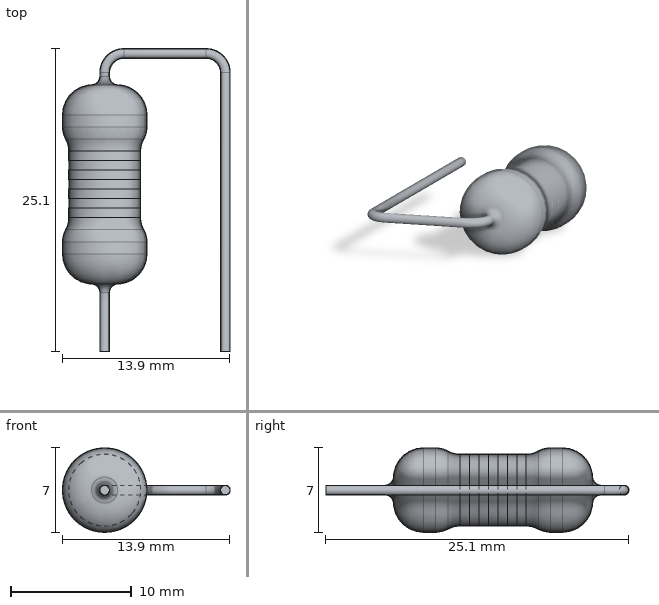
import cadquery as cq
import math


WIRE_RADIUS = 0.8 / 2
BEND_RADIUS = 4 * WIRE_RADIUS
LEAD_PITCH = 10.0
OVERALL_LENGTH = 25.1
FOOT_RADIUS = 0.7

BODY_START = 5.6
BODY_LENGTH = 16.5
CAP_RADIUS = 7.0 / 2
DOME_RADIUS = 2.5
CAP_LAND = 1.0
NECK_ARC_LENGTH = 1.0

BARREL_RADIUS = 5.95 / 2
BAND_RADIUS = 5.97 / 2
BAND_COUNT = 4

BODY_MIDDLE = BODY_START + BODY_LENGTH / 2
BARREL_LENGTH = BODY_LENGTH - 2 * (DOME_RADIUS + CAP_LAND + 2 * NECK_ARC_LENGTH)
BAND_WIDTH = BARREL_LENGTH / (2 * BAND_COUNT - 1)

NECK_END = BARREL_LENGTH / 2
NECK_MIDDLE = NECK_END + NECK_ARC_LENGTH
LAND_START = NECK_MIDDLE + NECK_ARC_LENGTH
LAND_END = LAND_START + CAP_LAND

DOME_CENTRE_RADIUS = CAP_RADIUS - DOME_RADIUS
FOOT_CENTRE_RADIUS = WIRE_RADIUS + FOOT_RADIUS
CENTRE_OFFSET = FOOT_CENTRE_RADIUS - DOME_CENTRE_RADIUS
FOOT_ANGLE = math.acos(CENTRE_OFFSET / (DOME_RADIUS + FOOT_RADIUS))
FOOT_END = LAND_END + (DOME_RADIUS + FOOT_RADIUS) * math.sin(FOOT_ANGLE)


def point_on_arc(centre, radius, angle):
    return (centre[0] + radius * math.cos(angle), centre[1] + radius * math.sin(angle))


def body_end():
    """Revolved +Y end of the body, from the end of the barrel to the wire, centred on the body middle."""
    neck_rise = (CAP_RADIUS - BARREL_RADIUS) / 2
    neck_middle_radius = BARREL_RADIUS + neck_rise
    neck_arc_radius = (NECK_ARC_LENGTH**2 + neck_rise**2) / (2 * neck_rise)
    neck_angle = math.asin(NECK_ARC_LENGTH / neck_arc_radius)
    neck_centre = (BARREL_RADIUS + neck_arc_radius, NECK_END)
    dome_centre = (DOME_CENTRE_RADIUS, LAND_END)
    foot_centre = (FOOT_CENTRE_RADIUS, FOOT_END)
    foot_start_angle = FOOT_ANGLE + math.pi
    foot_middle_angle = (foot_start_angle + math.pi) / 2
    profile = (
        cq.Workplane("XY")
        .moveTo(0, NECK_END)
        .lineTo(BARREL_RADIUS, NECK_END)
        .threePointArc(
            point_on_arc(neck_centre, neck_arc_radius, math.pi - neck_angle / 2),
            (neck_middle_radius, NECK_MIDDLE),
        )
        .tangentArcPoint((CAP_RADIUS, LAND_START), relative=False)
        .lineTo(CAP_RADIUS, LAND_END)
        .threePointArc(
            point_on_arc(dome_centre, DOME_RADIUS, FOOT_ANGLE / 2),
            point_on_arc(dome_centre, DOME_RADIUS, FOOT_ANGLE),
        )
        .threePointArc(
            point_on_arc(foot_centre, FOOT_RADIUS, foot_middle_angle),
            (WIRE_RADIUS, FOOT_END),
        )
        .lineTo(0, FOOT_END)
        .close()
    )
    return profile.revolve(360, (0, 0, 0), (0, 1, 0))


def cylinder_along_y(radius, start, length):
    return cq.Workplane("XZ", origin=(0, start, 0)).circle(radius).extrude(-length)


def body():
    barrel = cylinder_along_y(BARREL_RADIUS, -NECK_END, BARREL_LENGTH)
    upper_end = body_end()
    lower_end = upper_end.mirror("XZ")
    return barrel.union(upper_end).union(lower_end).translate((0, BODY_MIDDLE, 0))


def colour_band(index):
    start = BODY_MIDDLE - NECK_END + 2 * index * BAND_WIDTH
    return cylinder_along_y(BAND_RADIUS, start, BAND_WIDTH)


def straight_lead():
    return cylinder_along_y(WIRE_RADIUS, 0, BODY_MIDDLE - FOOT_END)


def bent_lead():
    """Lead that leaves the +Y end, crosses to X = LEAD_PITCH and returns to Y = 0."""
    lead_start = BODY_MIDDLE + FOOT_END
    crossing = OVERALL_LENGTH - WIRE_RADIUS
    bend_start = crossing - BEND_RADIUS
    path = (
        cq.Workplane("XY")
        .moveTo(0, lead_start)
        .lineTo(0, bend_start)
        .tangentArcPoint((BEND_RADIUS, crossing), relative=False)
        .lineTo(LEAD_PITCH - BEND_RADIUS, crossing)
        .tangentArcPoint((LEAD_PITCH, bend_start), relative=False)
        .lineTo(LEAD_PITCH, 0)
    )
    return cq.Workplane("XZ", origin=(0, lead_start, 0)).circle(WIRE_RADIUS).sweep(path)


result = body()
for band_index in range(BAND_COUNT):
    result = result.union(colour_band(band_index))
result = result.union(straight_lead()).union(bent_lead())